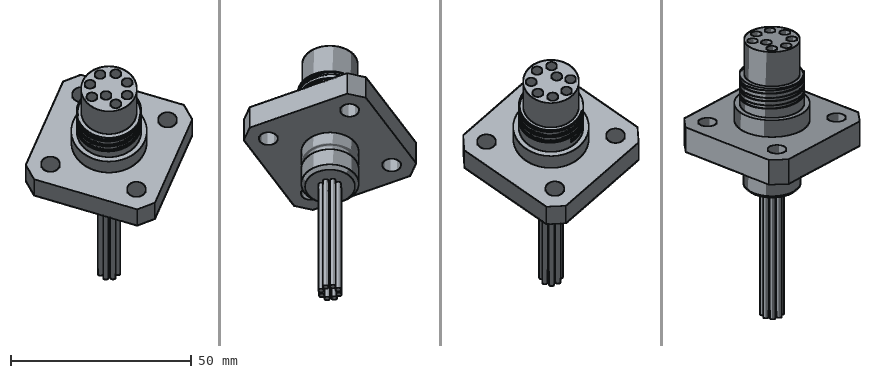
import cadquery as cq
import math

total_height = 85.7
rear_z = 39.85
plate_bottom_z = 52.9
plate_top_z = 60.6
boss_top_z = 65.8
collar_top_z = 75.0

plate_side = 38.1
plate_corner_chamfer = 3.85
mount_hole_diameter = 5.2
mount_hole_spacing = 25.4

plug_diameter = 15.5
collar_diameter = 18.0
boss_diameter = 21.0
rear_diameter = 15.9
rear_chamfer = 1.0

seal_groove_diameter = 13.9
seal_groove_bottom_z = 46.7
seal_groove_width = 2.05
seal_groove_rounding = 0.25

thread_groove_width = 1.0
thread_groove_depth = 0.3
thread_clearance = 0.5
thread_start_angle = 170.0
thread_start_z = 68.2
thread_rise = 7.0
thread_turns_to_top = 3
thread_pitch = thread_rise / thread_turns_to_top
thread_overrun_turns = 0.4

socket_diameter = 3.0
socket_depth = total_height - collar_top_z
socket_ring_radius = 5.5
ring_socket_count = 7
socket_ring_span = 280.0
socket_ring_middle_angle = 90.0
inner_socket_offset = 2.4

wire_diameter = 1.5
wire_count = 8
wire_circle_radius = 2.6
wire_embed = 0.85


def cylinder(diameter, bottom_z, top_z):
    """Solid cylinder on the connector axis between two heights."""
    return cq.Workplane("XY").workplane(offset=bottom_z).circle(diameter / 2).extrude(top_z - bottom_z)


def make_plate():
    """Square plate with chamfered corners and four mounting holes."""
    return (
        cq.Workplane("XY")
        .workplane(offset=plate_bottom_z)
        .rect(plate_side, plate_side)
        .extrude(plate_top_z - plate_bottom_z)
        .edges("|Z")
        .chamfer(plate_corner_chamfer)
        .faces(">Z")
        .workplane()
        .rect(mount_hole_spacing, mount_hole_spacing, forConstruction=True)
        .vertices()
        .hole(mount_hole_diameter)
    )


def make_rear_body():
    """Cylinder below the plate with a chamfered end and a seal groove."""
    body = cylinder(rear_diameter, rear_z, plate_bottom_z).faces("<Z").edges().chamfer(rear_chamfer)
    groove_top_z = seal_groove_bottom_z + seal_groove_width
    groove = cylinder(rear_diameter, seal_groove_bottom_z, groove_top_z).cut(
        cylinder(seal_groove_diameter, seal_groove_bottom_z, groove_top_z)
    )
    rim_zone_bottom_z = seal_groove_bottom_z - seal_groove_rounding
    rim_zone_top_z = groove_top_z + seal_groove_rounding
    groove_edges = cq.selectors.BoxSelector(
        (-rear_diameter, -rear_diameter, rim_zone_bottom_z),
        (rear_diameter, rear_diameter, rim_zone_top_z),
    )
    return body.cut(groove).edges(groove_edges).edges("%CIRCLE").fillet(seal_groove_rounding)


def make_thread_groove():
    """Right-hand helical groove that runs out through the top of the collar."""
    collar_radius = collar_diameter / 2
    height = thread_rise + thread_overrun_turns * thread_pitch
    profile_width = thread_groove_depth + thread_clearance
    profile_radius = collar_radius + (thread_clearance - thread_groove_depth) / 2
    helix = cq.Wire.makeHelix(thread_pitch, height, profile_radius)
    groove = (
        cq.Workplane("XZ", origin=(profile_radius, 0, 0))
        .rect(profile_width, thread_groove_width)
        .sweep(cq.Workplane(obj=helix), isFrenet=True)
    )
    return groove.rotate((0, 0, 0), (0, 0, 1), thread_start_angle).translate((0, 0, thread_start_z))


def make_threaded_collar():
    """Collar above the boss, cut by the thread groove."""
    collar = cylinder(collar_diameter, boss_top_z, collar_top_z).rotate((0, 0, 0), (0, 0, 1), 90)
    return collar.cut(make_thread_groove())


def make_sockets():
    """Blind round sockets in the plug face."""
    step = socket_ring_span / (ring_socket_count - 1)
    centres = [(0, -inner_socket_offset)]
    for i in range(ring_socket_count):
        angle = math.radians(socket_ring_middle_angle - socket_ring_span / 2 + i * step)
        centres.append((socket_ring_radius * math.cos(angle), socket_ring_radius * math.sin(angle)))
    return (
        cq.Workplane("XY")
        .workplane(offset=total_height - socket_depth)
        .pushPoints(centres)
        .circle(socket_diameter / 2)
        .extrude(socket_depth)
    )


def make_wires():
    """Circle of wires hanging from the rear body."""
    return (
        cq.Workplane("XY")
        .polarArray(wire_circle_radius, 0, 360, wire_count)
        .circle(wire_diameter / 2)
        .extrude(rear_z + wire_embed)
    )


collar = make_threaded_collar()
plug = cylinder(plug_diameter, boss_top_z, total_height)
boss = cylinder(boss_diameter, plate_top_z, boss_top_z)

result = (
    make_plate()
    .union(boss)
    .union(collar)
    .union(plug)
    .union(make_rear_body())
    .union(make_wires())
    .cut(make_sockets())
)